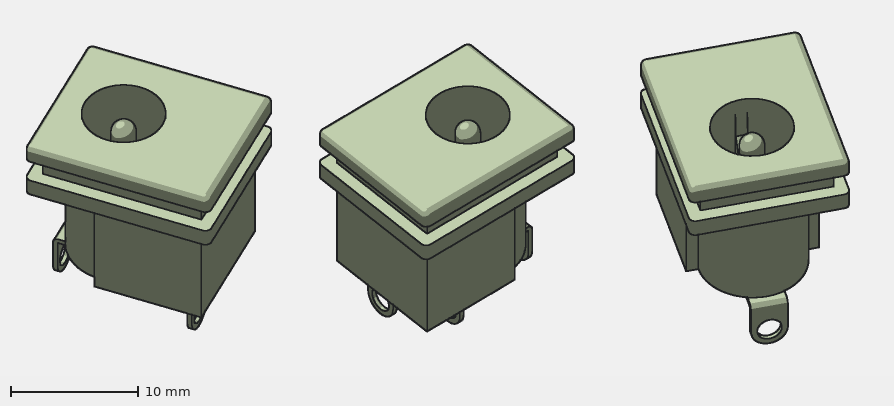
import cadquery as cq

length = 15.7
width = 13.0
height = 18.3

edge_radius = 0.51
top_flange_thickness = 1.5
panel_gap = 2.0
lower_flange_thickness = 1.5
lower_flange_top = height - top_flange_thickness - panel_gap
lower_flange_bottom = lower_flange_top - lower_flange_thickness

body_length = 13.5
body_width = 10.8
body_bottom = 4.3
barrel_radius = 4.41
block_start = -2.36
barrel_x = barrel_radius - body_length / 2

socket_x = -2.16
socket_diameter = 6.6
socket_floor = 7.32
pin_diameter = 2.0
pin_top = height - 0.92
contact_width = 0.97
contact_reach = 0.88
contact_lead_in = 0.2
contact_top = 17.3
contact_bend = 14.64
contact_bulge = 13.35

terminal_thickness = 0.4
terminal_width = 3.0
terminal_hole_diameter = 2.0
front_terminal_x = 0.3 - length / 2
front_terminal_end = 0.82
bend_radius = 0.5
side_terminal_offset = 2.03
inner_terminal_x = 1.32
outer_terminal_x = 4.74


def slab(size_x, size_y, bottom, top):
    """Rectangular slab centred on the Z axis."""
    return cq.Workplane("XY").workplane(offset=bottom).rect(size_x, size_y).extrude(top - bottom)


def make_flanges():
    top_flange = slab(length, width, height - top_flange_thickness, height)
    top_flange = top_flange.edges("|Z or >Z").fillet(edge_radius)
    lower_flange = slab(length, width, lower_flange_bottom, lower_flange_top)
    lower_flange = lower_flange.edges("|Z").fillet(edge_radius)
    neck = slab(body_length, body_width, lower_flange_bottom, height - top_flange_thickness)
    return top_flange.union(neck).union(lower_flange)


def make_body():
    body_height = lower_flange_top - body_bottom
    base = cq.Workplane("XY").workplane(offset=body_bottom)
    barrel = base.center(barrel_x, 0).circle(barrel_radius).extrude(body_height)
    block_length = body_length / 2 - block_start
    block = base.center(block_start + block_length / 2, 0).rect(block_length, body_width)
    return barrel.union(block.extrude(body_height))


def make_socket():
    socket = cq.Workplane("XY").workplane(offset=socket_floor).center(socket_x, 0)
    return socket.circle(socket_diameter / 2).extrude(height - socket_floor)


def make_pin():
    pin = cq.Workplane("XY").workplane(offset=socket_floor).center(socket_x, 0)
    pin = pin.circle(pin_diameter / 2).extrude(pin_top - pin_diameter / 2 - socket_floor)
    tip = cq.Workplane("XY").sphere(pin_diameter / 2)
    return pin.union(tip.translate((socket_x, 0, pin_top - pin_diameter / 2)))


def make_contact():
    """Spring contact bulging from the socket wall towards the pin."""
    wall_x = socket_x + socket_diameter / 2
    profile = (
        cq.Workplane("XZ")
        .moveTo(wall_x, contact_top)
        .lineTo(wall_x - contact_lead_in, contact_bend)
        .lineTo(wall_x - contact_reach, contact_bulge)
        .lineTo(wall_x, 2 * contact_bulge - contact_bend)
        .close()
    )
    return profile.extrude(contact_width / 2, both=True)


def make_terminal(x, y, top):
    """Upright tab with a round lower end and an eye, its left face at x."""
    end_radius = terminal_width / 2
    tab = (
        cq.Workplane("YZ", origin=(x, y, 0))
        .moveTo(-end_radius, top)
        .lineTo(-end_radius, end_radius)
        .threePointArc((0, 0), (end_radius, end_radius))
        .lineTo(end_radius, top)
        .close()
        .extrude(terminal_thickness)
    )
    eye = cq.Workplane("YZ", origin=(x, y, 0)).center(0, end_radius)
    return tab.cut(eye.circle(terminal_hole_diameter / 2).extrude(terminal_thickness))


def make_front_terminal():
    """Terminal bent under the body to lie flat against it."""
    tab = make_terminal(front_terminal_x, 0, body_bottom)
    strip_length = front_terminal_end - front_terminal_x
    strip = cq.Workplane("XY").box(
        strip_length, terminal_width, terminal_thickness, centered=(False, True, False)
    )
    strip = strip.translate((front_terminal_x, 0, body_bottom - terminal_thickness))
    bent = tab.union(strip)
    outer_corner = cq.selectors.NearestToPointSelector((front_terminal_x, 0, body_bottom))
    inner_corner = cq.selectors.NearestToPointSelector(
        (front_terminal_x + terminal_thickness, 0, body_bottom - terminal_thickness)
    )
    bent = bent.edges(outer_corner).fillet(bend_radius)
    return bent.edges(inner_corner).fillet(bend_radius - terminal_thickness)


result = make_flanges().union(make_body()).cut(make_socket())
result = result.union(make_pin()).union(make_contact()).union(make_front_terminal())
result = result.union(make_terminal(inner_terminal_x, side_terminal_offset, body_bottom))
result = result.union(make_terminal(outer_terminal_x, -side_terminal_offset, body_bottom))